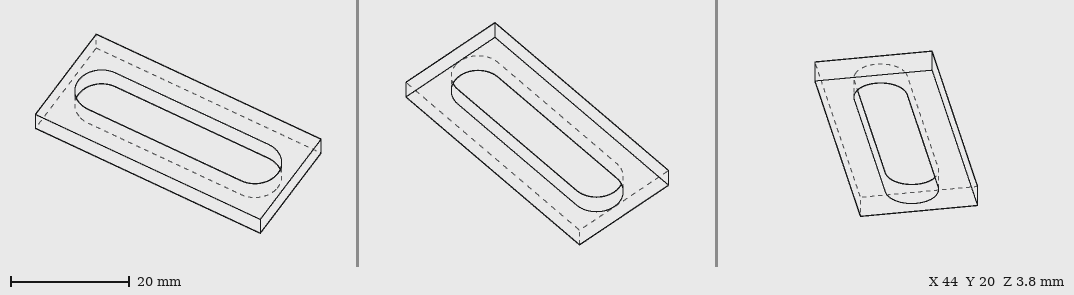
import cadquery as cq

plate_length = 44.0
plate_width = 20.0
plate_thickness = 3.8

slot_length = 39.0
slot_width = 9.0

plate = cq.Workplane("XY").box(plate_length, plate_width, plate_thickness)

result = plate.faces(">Z").workplane().slot2D(slot_length, slot_width).cutThruAll()